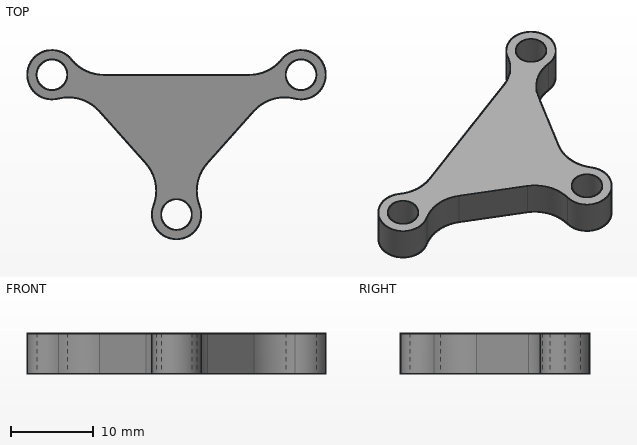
import cadquery as cq
import math

overall_length = 36.0
overall_width = 22.8
thickness = 4.9
boss_radius = 3.0
hole_radius = 1.85
fillet_radius = 5.0
slanted_edge_inset = 1.33
straight_edge_inset = 0.0

half_spacing = overall_length / 2 - boss_radius
half_rise = overall_width / 2 - boss_radius
left_hole = (-half_spacing, half_rise)
bottom_hole = (0.0, -half_rise)
right_hole = (half_spacing, half_rise)
holes = [left_hole, bottom_hole, right_hole]
edge_insets = [slanted_edge_inset, slanted_edge_inset, straight_edge_inset]


def toward(start, target, distance):
    """Point at the given distance from start in the direction of target."""
    dx = target[0] - start[0]
    dy = target[1] - start[1]
    scale = distance / math.hypot(dx, dy)
    return (start[0] + dx * scale, start[1] + dy * scale)


def edge_points(start, end, inset):
    """Boss, arc middle and line points of both fillets along one edge, in travel order."""
    length = math.dist(start, end)
    along = ((end[0] - start[0]) / length, (end[1] - start[1]) / length)
    outward = (along[1], -along[0])

    def place(run, offset):
        return (
            start[0] + along[0] * run + outward[0] * offset,
            start[1] + along[1] * run + outward[1] * offset,
        )

    center_offset = fillet_radius - inset
    tangent_run = math.sqrt((boss_radius + fillet_radius) ** 2 - center_offset**2)

    def fillet_points(boss_center, run):
        center = place(run, center_offset)
        line_point = place(run, -inset)
        boss_point = toward(boss_center, center, boss_radius)
        chord_middle = (
            (boss_point[0] + line_point[0]) / 2,
            (boss_point[1] + line_point[1]) / 2,
        )
        arc_middle = toward(center, chord_middle, fillet_radius)
        return [boss_point, arc_middle, line_point]

    leaving = fillet_points(start, tangent_run)
    arriving = fillet_points(end, length - tangent_run)
    return leaving + arriving[::-1]


edges = [
    edge_points(holes[i], holes[(i + 1) % len(holes)], edge_insets[i])
    for i in range(len(holes))
]
centroid = (0.0, sum(y for _, y in holes) / len(holes))

outline = cq.Workplane("XY").moveTo(*edges[0][0])
for i, edge in enumerate(edges):
    _, first_middle, line_start, line_end, second_middle, boss_end = edge
    next_index = (i + 1) % len(edges)
    boss_outermost = toward(holes[next_index], centroid, -boss_radius)
    outline = (
        outline.threePointArc(first_middle, line_start)
        .lineTo(*line_end)
        .threePointArc(second_middle, boss_end)
        .threePointArc(boss_outermost, edges[next_index][0])
    )
plate = outline.close().extrude(thickness)

bores = cq.Workplane("XY").pushPoints(holes).circle(hole_radius).extrude(thickness)
result = plate.cut(bores)